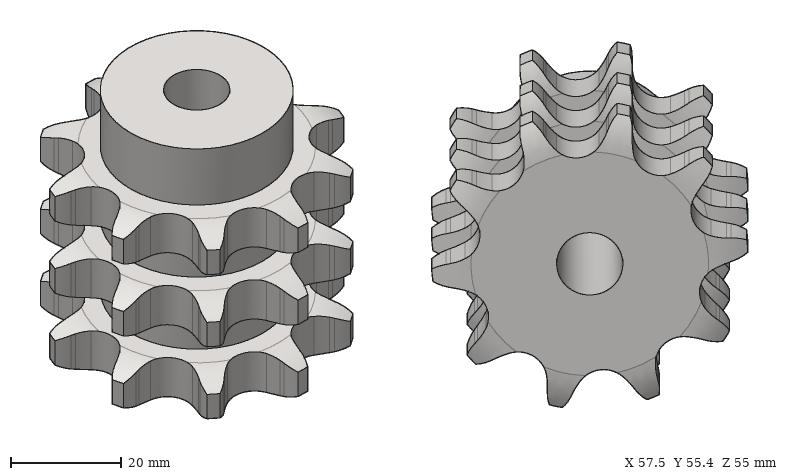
import cadquery as cq
import math


tooth_count = 10
chain_pitch = 15.85
roller_diameter = 10.2
roller_clearance = 0.038
tip_radius = 28.75

plate_thickness = 9.0
plate_spacing = 16.55
plate_count = 3
flat_face_radius = 21.55
side_relief_radius = 16.0

hub_diameter = 35.0
hub_height = 55.0
bore_diameter = 12.0

seat_radius_ratio = 0.5025
flank_center_ratio = 0.8
flank_radius_ratio = 1.3025
topping_center_ratio = 1.4

tooth_angle = 360.0 / tooth_count
pitch_radius = chain_pitch / (2 * math.sin(math.radians(tooth_angle / 2)))
seat_radius = seat_radius_ratio * roller_diameter + roller_clearance
seat_end_angle = 35.0 + 60.0 / tooth_count
flank_sweep = 18.0 - 56.0 / tooth_count
topping_start_angle = 17.0 - 64.0 / tooth_count
flank_end_angle = seat_end_angle - flank_sweep
flank_center_distance = flank_center_ratio * roller_diameter
flank_radius = flank_center_distance + seat_radius
straight_length = roller_diameter * (
    topping_center_ratio * math.sin(math.radians(topping_start_angle))
    - flank_center_ratio * math.sin(math.radians(flank_sweep))
)
topping_radius = roller_diameter * (
    flank_center_ratio * math.cos(math.radians(flank_sweep))
    + topping_center_ratio * math.cos(math.radians(topping_start_angle))
    - flank_radius_ratio
) - roller_clearance

topping_sweep = 30.0
cutter_reach = tip_radius + 2.9


def offset(point, distance, angle):
    """Point at a distance from another, with the angle in degrees from +X."""
    direction = math.radians(angle)
    return (point[0] + distance * math.cos(direction), point[1] + distance * math.sin(direction))


def mirrored(point):
    return (-point[0], point[1])


def make_gullet():
    """Tooth gap centred on +Y: roller seat, flank arcs, short straights and topping arcs."""
    seat_center = (0, pitch_radius)
    seat_bottom = (0, pitch_radius - seat_radius)
    seat_end = offset(seat_center, seat_radius, -seat_end_angle)

    flank_center = offset(seat_center, flank_center_distance, 180 - seat_end_angle)
    flank_middle = offset(flank_center, flank_radius, -(seat_end_angle + flank_end_angle) / 2)
    flank_end = offset(flank_center, flank_radius, -flank_end_angle)

    straight_end = offset(flank_end, straight_length, 90 - flank_end_angle)

    topping_center = offset(straight_end, topping_radius, -flank_end_angle)
    topping_angle = 180 - flank_end_angle
    topping_middle = offset(topping_center, topping_radius, topping_angle - topping_sweep / 2)
    topping_end = offset(topping_center, topping_radius, topping_angle - topping_sweep)
    outer_corner = (topping_end[0], cutter_reach)

    return (
        cq.Workplane("XY")
        .moveTo(*mirrored(seat_end))
        .threePointArc(seat_bottom, seat_end)
        .threePointArc(flank_middle, flank_end)
        .lineTo(*straight_end)
        .threePointArc(topping_middle, topping_end)
        .lineTo(*outer_corner)
        .lineTo(*mirrored(outer_corner))
        .lineTo(*mirrored(topping_end))
        .threePointArc(mirrored(topping_middle), mirrored(straight_end))
        .lineTo(*mirrored(flank_end))
        .threePointArc(mirrored(flank_middle), mirrored(seat_end))
        .close()
        .extrude(plate_thickness)
    )


def relief_drop(radius):
    """Depth of the rounded side relief below the flat plate face."""
    run = radius - flat_face_radius
    return side_relief_radius - math.sqrt(side_relief_radius**2 - run**2)


def make_blank():
    """Disc whose rim curves in on both sides, tangent to the flat faces."""
    middle_radius = (flat_face_radius + tip_radius) / 2
    middle_drop = relief_drop(middle_radius)
    tip_drop = relief_drop(tip_radius)
    return (
        cq.Workplane("XZ")
        .moveTo(0, 0)
        .lineTo(flat_face_radius, 0)
        .threePointArc((middle_radius, middle_drop), (tip_radius, tip_drop))
        .lineTo(tip_radius, plate_thickness - tip_drop)
        .threePointArc(
            (middle_radius, plate_thickness - middle_drop),
            (flat_face_radius, plate_thickness),
        )
        .lineTo(0, plate_thickness)
        .close()
        .revolve(360, (0, 0, 0), (0, 1, 0))
    )


def make_plate():
    """Toothed plate with one tooth centred on +X."""
    plate = make_blank()
    gullet = make_gullet()
    for index in range(tooth_count):
        plate = plate.cut(gullet.rotate((0, 0, 0), (0, 0, 1), index * tooth_angle))
    return plate


sprocket = cq.Workplane("XY").circle(hub_diameter / 2).extrude(hub_height)
toothed_plate = make_plate()
for level in range(plate_count):
    sprocket = sprocket.union(toothed_plate.translate((0, 0, level * plate_spacing)))
bore = cq.Workplane("XY").circle(bore_diameter / 2).extrude(hub_height)
result = sprocket.cut(bore)